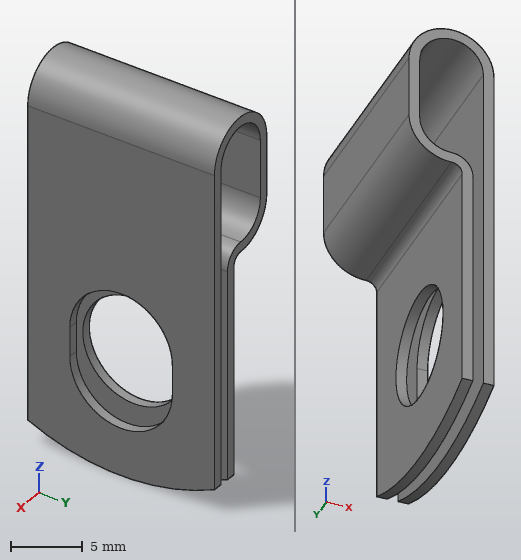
import cadquery as cq

height = 30.88
width = 15.87
loop_width = 6.4
thickness = 0.8
loop_straight = 4.75
hole_diameter = 8.7
hole_height = 9.48
slot_straight = 2.4
end_rise = 1.73

loop_outer = loop_width / 2
loop_inner = loop_outer - thickness
bend_inner = thickness
bend_outer = bend_inner + thickness
gap_middle = (bend_outer + loop_inner) / 2
upper_center = height - loop_outer
lower_center = upper_center - loop_straight
bend_center = lower_center - loop_inner - bend_outer


def make_strip():
    """Bent strip: back tab, loop, reverse bend and front tab, extruded along Y."""
    profile = (
        cq.Workplane("XZ")
        .moveTo(loop_outer, 0)
        .lineTo(loop_outer, upper_center)
        .radiusArc((0, height), -loop_outer)
        .radiusArc((-loop_outer, upper_center), -loop_outer)
        .lineTo(-loop_outer, lower_center)
        .radiusArc((0, lower_center - loop_outer), -loop_outer)
        .radiusArc((bend_inner, bend_center), bend_inner)
        .lineTo(bend_inner, 0)
        .lineTo(bend_outer, 0)
        .lineTo(bend_outer, bend_center)
        .radiusArc((0, lower_center - loop_inner), -bend_outer)
        .radiusArc((-loop_inner, lower_center), loop_inner)
        .lineTo(-loop_inner, upper_center)
        .radiusArc((0, upper_center + loop_inner), loop_inner)
        .radiusArc((loop_inner, upper_center), loop_inner)
        .lineTo(loop_inner, 0)
        .close()
    )
    return profile.extrude(width / 2, both=True)


def make_side_outline():
    """Block bounding the strip from the side, with the arched lower end."""
    return (
        cq.Workplane("YZ")
        .moveTo(-width / 2, height)
        .lineTo(-width / 2, end_rise)
        .threePointArc((0, 0), (width / 2, end_rise))
        .lineTo(width / 2, height)
        .close()
        .extrude(loop_width, both=True)
    )


def make_front_hole():
    """Round hole through the front tab, ending in the gap between the tabs."""
    return (
        cq.Workplane("YZ", origin=(gap_middle, 0, hole_height))
        .circle(hole_diameter / 2)
        .extrude(-loop_width)
    )


def make_back_slot():
    """Upright slot through the back tab, as wide as the front hole."""
    return (
        cq.Workplane("YZ", origin=(gap_middle, 0, hole_height))
        .slot2D(slot_straight + hole_diameter, hole_diameter, angle=90)
        .extrude(loop_width)
    )


strip = make_strip().intersect(make_side_outline())
result = strip.cut(make_front_hole()).cut(make_back_slot())